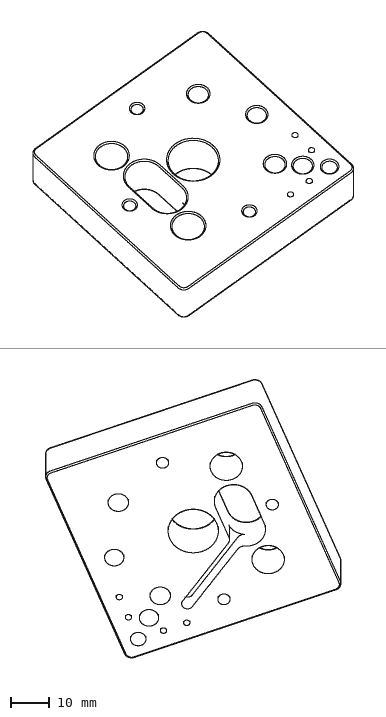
import cadquery as cq
import math

side = 60.0
thickness = 12.7
corner_radius = 2.0
chamfer = 0.4

slot_width = 10.0
slot_straight = 9.0
slot_length = slot_straight + slot_width
slot_y = -12.95

channel_width = 3.0
channel_depth = 6.0
channel_length = 27.0
channel_angle = 55.5
mouth_radius = 2.0

cross_offset = 21.95
square_offset = 15.0
inner_corner_offset = 20.1
corner_offset = 25.0
near_pin_offset = 18.0
far_pin_offset = 11.5

chamfered_holes = [
    (13.0, [(0, 0)]),
    (3.2, [(-cross_offset, 0), (cross_offset, 0), (0, -cross_offset)]),
    (5.0, [(0, cross_offset), (inner_corner_offset, inner_corner_offset)]),
    (5.3, [(-square_offset, square_offset), (square_offset, square_offset)]),
    (8.4, [(-square_offset, -square_offset), (square_offset, -square_offset)]),
    (4.0, [(corner_offset, corner_offset)]),
]

pin_diameter = 1.6
pin_centres = [
    (far_pin_offset, corner_offset),
    (near_pin_offset, corner_offset),
    (corner_offset, near_pin_offset),
    (corner_offset, far_pin_offset),
]


def plate():
    blank = cq.Workplane("XY").rect(side, side).extrude(thickness)
    blank = blank.edges("|Z").fillet(corner_radius)
    return blank.faces("<Z or >Z").chamfer(chamfer)


def through_cutter(draw_profile):
    """Cutter through the plate that widens by the chamfer at the top face."""
    shaft = draw_profile(cq.Workplane("XY")).extrude(thickness)
    rim_base = cq.Workplane("XY", origin=(0, 0, thickness - chamfer))
    rim = draw_profile(rim_base).extrude(chamfer, taper=-45)
    return shaft.union(rim)


def hole_cutter(diameter, centres):
    return through_cutter(lambda plane: plane.pushPoints(centres).circle(diameter / 2))


def slot_cutter():
    return through_cutter(lambda plane: plane.center(0, slot_y).slot2D(slot_length, slot_width))


def channel_cutter():
    """Straight channel with a round far end and a mouth that flares into the slot.

    The outline has the centre of the slot's round end as its origin and runs along X.
    Each flare is an arc tangent to both the slot's round end and the channel wall.
    """
    half_width = channel_width / 2
    slot_radius = slot_width / 2
    flare_y = half_width + mouth_radius
    flare_reach = slot_radius + mouth_radius
    mouth_angle = math.asin(flare_y / flare_reach)
    flare_x = flare_reach * math.cos(mouth_angle)
    mouth_x = slot_radius * math.cos(mouth_angle)
    mouth_y = slot_radius * math.sin(mouth_angle)

    middle_angle = (mouth_angle + math.pi / 2) / 2
    middle_x = flare_x - mouth_radius * math.cos(middle_angle)
    middle_y = flare_y - mouth_radius * math.sin(middle_angle)

    outline = (
        cq.Workplane("XY")
        .moveTo(mouth_x, mouth_y)
        .threePointArc((middle_x, middle_y), (flare_x, half_width))
        .lineTo(channel_length, half_width)
        .threePointArc((channel_length + half_width, 0), (channel_length, -half_width))
        .lineTo(flare_x, -half_width)
        .threePointArc((middle_x, -middle_y), (mouth_x, -mouth_y))
        .lineTo(0, 0)
        .close()
    )
    channel = outline.extrude(channel_depth)
    channel = channel.rotate((0, 0, 0), (0, 0, 1), channel_angle)
    return channel.translate((slot_straight / 2, slot_y, 0))


def pin_cutter():
    return cq.Workplane("XY").pushPoints(pin_centres).circle(pin_diameter / 2).extrude(thickness)


body = plate().cut(slot_cutter()).cut(channel_cutter()).cut(pin_cutter())
for hole_diameter, hole_centres in chamfered_holes:
    body = body.cut(hole_cutter(hole_diameter, hole_centres))

result = body.solids()